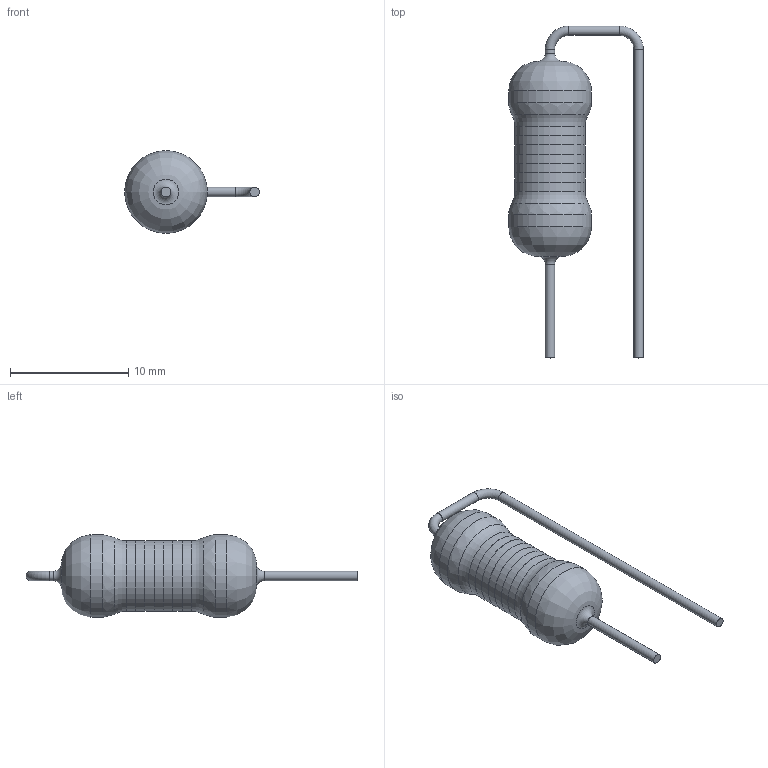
import cadquery as cq
import math

wire_diameter = 0.8
lead_pitch = 7.5
bend_radius = 1.6
total_length = 28.1

cap_diameter = 7.0
waist_diameter = 5.95
band_diameter = 5.97
body_length = 16.5
cap_round_radius = 2.5
cap_land_length = 1.0
shoulder_length = 2.0
neck_fillet_radius = 0.7
ring_count = 7

bend_to_body = 1.0

wire_radius = wire_diameter / 2
cap_radius = cap_diameter / 2
waist_radius = waist_diameter / 2
band_radius = band_diameter / 2

body_end = body_length / 2
cap_end = body_end - cap_round_radius
cap_start = cap_end - cap_land_length
waist_end = cap_start - shoulder_length
ring_width = 2 * waist_end / ring_count

bend_start = body_end + bend_to_body
top_run = bend_start + bend_radius
lead_end = top_run + wire_radius - total_length

round_centre_x = cap_radius - cap_round_radius
neck_centre_x = wire_radius + neck_fillet_radius
centre_distance = cap_round_radius + neck_fillet_radius
neck_end = cap_end + math.sqrt(centre_distance**2 - (neck_centre_x - round_centre_x) ** 2)
round_share = cap_round_radius / centre_distance
neck_foot_x = round_centre_x + (neck_centre_x - round_centre_x) * round_share
neck_foot_y = cap_end + (neck_end - cap_end) * round_share


def make_end():
    """Half of the body on the +Y side: waist, shoulder, cap and neck."""
    shoulder_middle = ((cap_radius + waist_radius) / 2, (cap_start + waist_end) / 2)
    profile = (
        cq.Workplane("XY")
        .lineTo(waist_radius, 0)
        .lineTo(waist_radius, waist_end)
        .tangentArcPoint(shoulder_middle, relative=False)
        .tangentArcPoint((cap_radius, cap_start), relative=False)
        .lineTo(cap_radius, cap_end)
        .tangentArcPoint((neck_foot_x, neck_foot_y), relative=False)
        .tangentArcPoint((wire_radius, neck_end), relative=False)
        .lineTo(0, neck_end)
        .close()
    )
    return profile.revolve(360, (0, 0, 0), (0, 1, 0))


def make_band(start_y):
    """Colour band standing slightly proud of the waist."""
    return cq.Workplane("XZ", origin=(0, start_y, 0)).circle(band_radius).extrude(-ring_width)


def make_straight_lead():
    return cq.Workplane("XZ").circle(wire_radius).extrude(-lead_end)


def make_bent_lead():
    """Lead that leaves the +Y end and folds back alongside the body."""
    path = (
        cq.Workplane("XY")
        .lineTo(0, bend_start)
        .tangentArcPoint((bend_radius, top_run), relative=False)
        .lineTo(lead_pitch - bend_radius, top_run)
        .tangentArcPoint((lead_pitch, bend_start), relative=False)
        .lineTo(lead_pitch, lead_end)
    )
    return cq.Workplane("XZ").circle(wire_radius).sweep(path)


upper_end = make_end()
result = upper_end.union(upper_end.mirror("XZ"))

for ring in range(1, ring_count, 2):
    result = result.union(make_band(-waist_end + ring * ring_width))

result = result.union(make_straight_lead()).union(make_bent_lead())